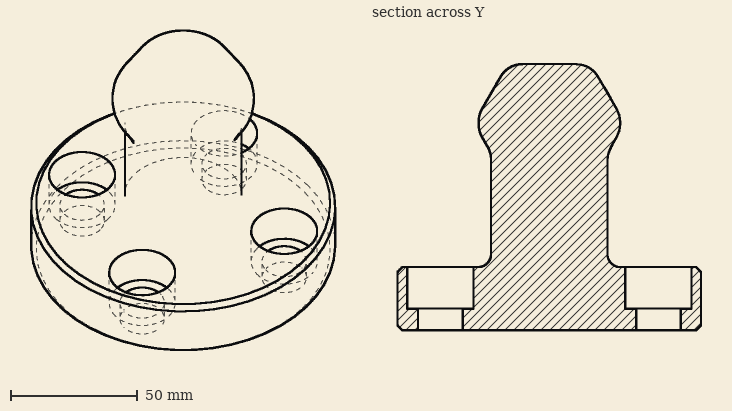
import cadquery as cq
import math

flange_diameter = 119.9
flange_thickness = 25.0
flange_chamfer = 2.0

hole_count = 4
hole_diameter = 17.5
counterbore_diameter = 26.0
counterbore_depth = 16.4
bolt_circle_diameter = 86.0

total_height = 105.0
neck_radius = 23.0
collar_radius = 27.9
base_fillet = 5.0
head_fillet = 10.0
taper_angle = math.radians(30)
top_taper_height = 20.0
head_length = 35.0

collar_top = total_height - top_taper_height
neck_top = total_height - head_length
collar_bottom = neck_top + (collar_radius - neck_radius) / math.tan(taper_angle)
top_radius = collar_radius - top_taper_height * math.tan(taper_angle)


def make_flange():
    disc = cq.Workplane("XY").circle(flange_diameter / 2).extrude(flange_thickness)
    return disc.faces("<Z or >Z").edges().chamfer(flange_chamfer)


def make_stud():
    """Revolve the sharp stud outline, then round all head corners."""
    stud = (
        cq.Workplane("XZ")
        .moveTo(0, flange_thickness)
        .lineTo(neck_radius, flange_thickness)
        .lineTo(neck_radius, neck_top)
        .lineTo(collar_radius, collar_bottom)
        .lineTo(collar_radius, collar_top)
        .lineTo(top_radius, total_height)
        .lineTo(0, total_height)
        .close()
        .revolve(360, (0, 0, 0), (0, 1, 0))
    )
    above_flange = cq.selectors.BoxSelector(
        (-flange_diameter, -flange_diameter, flange_thickness + base_fillet),
        (flange_diameter, flange_diameter, total_height + base_fillet),
    )
    return stud.edges("%CIRCLE").edges(above_flange).fillet(head_fillet)


def flange_top(body):
    """Select the ring face around the stud, second lowest of the horizontal faces."""
    return body.faces("|Z").faces(cq.selectors.CenterNthSelector(cq.Vector(0, 0, 1), 1))


def round_stud_base(body):
    """Fillet the corner where the neck meets the top of the flange."""
    inner_circle = cq.selectors.RadiusNthSelector(0)
    return flange_top(body).edges(inner_circle).fillet(base_fillet)


def drill_bolt_holes(body):
    return (
        flange_top(body)
        .workplane(origin=(0, 0, flange_thickness))
        .polarArray(bolt_circle_diameter / 2, 0, 360, hole_count)
        .cboreHole(hole_diameter, counterbore_diameter, counterbore_depth)
    )


flanged_stud = make_flange().union(make_stud())
result = drill_bolt_holes(round_stud_base(flanged_stud))